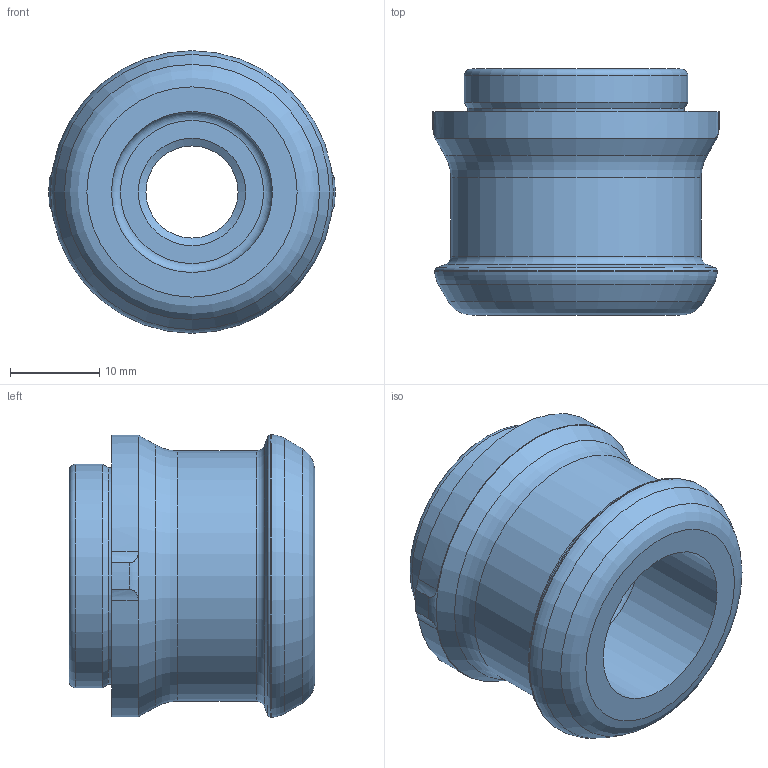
import cadquery as cq
import math

total_length = 27.5

rim_radius = 15.8
rim_cone_foot_radius = 13.43
rim_cone_angle = math.radians(30)
rim_front_round = 2.9
rim_rear_round = 3.1
rim_back_y = 5.2
rim_back_angle = math.radians(70)
rim_edge_round = 0.5
neck_front_fillet = 1.0

neck_radius = 14.0
neck_end_y = 16.7
flange_cone_angle = math.radians(30)
neck_rear_fillet = 5.0

pad_radius = 16.0
pad_end_round = 2.0
pad_half_width = 1.5
pad_side_fillet = 4.5
flange_radius = 15.76
flange_back_y = 22.74

spigot_radius = 12.5
spigot_edge_round = 0.75
groove_radius = 12.1
groove_width = 0.35
groove_flank_angle = math.radians(30)

bore_radius = 9.0
bore_depth = 13.0
bore_floor_fillet = 1.0
hole_radius = 5.15
hole_chamfer_width = 0.85
hole_chamfer_depth = 0.5


def toward(start, end, distance):
    """Point at the given distance from start along the line to end."""
    length = math.dist(start, end)
    return tuple(s + (e - s) * distance / length for s, e in zip(start, end))


def turned_solid(corners):
    """Revolve a closed outline about Y. Each corner is (radius, y, rounding)."""
    runs = []
    for index, (radius, y, rounding) in enumerate(corners):
        corner = (radius, y)
        if rounding == 0:
            runs.append([corner])
            continue
        before = corners[index - 1][:2]
        after = corners[(index + 1) % len(corners)][:2]
        unit_before = toward(corner, before, 1)
        unit_after = toward(corner, after, 1)
        half_chord = math.dist(unit_before, unit_after) / 2
        half_angle = math.asin(half_chord)
        setback = rounding / math.tan(half_angle)
        bisector = ((unit_before[0] + unit_after[0]) / 2, (unit_before[1] + unit_after[1]) / 2)
        middle = toward(corner, bisector, rounding / math.sin(half_angle) - rounding)
        runs.append([toward(corner, before, setback), middle, toward(corner, after, setback)])

    outline = cq.Workplane("XY").moveTo(*runs[0][-1])
    for run in runs[1:]:
        outline = outline.lineTo(*run[0])
        if len(run) > 1:
            outline = outline.threePointArc(run[1], run[2])
    return outline.close().revolve(360, (0, 0, 0), (0, 1, 0))


def make_blank():
    """Solid outer shape, with the flange still at the pad radius all round."""
    rim_cone_end_y = (rim_radius - rim_cone_foot_radius) / math.tan(rim_cone_angle)
    neck_start_y = rim_back_y + (rim_radius - neck_radius) / math.tan(rim_back_angle)
    flange_start_y = neck_end_y + (pad_radius - neck_radius) / math.tan(flange_cone_angle)
    groove_end_y = flange_back_y + groove_width
    spigot_start_y = groove_end_y + (spigot_radius - groove_radius) / math.tan(groove_flank_angle)
    return turned_solid([
        (0, 0, 0),
        (rim_cone_foot_radius, 0, rim_front_round),
        (rim_radius, rim_cone_end_y, rim_rear_round),
        (rim_radius, rim_back_y, rim_edge_round),
        (neck_radius, neck_start_y, neck_front_fillet),
        (neck_radius, neck_end_y, neck_rear_fillet),
        (pad_radius, flange_start_y, pad_end_round),
        (pad_radius, flange_back_y, 0),
        (groove_radius, flange_back_y, 0),
        (groove_radius, groove_end_y, 0),
        (spigot_radius, spigot_start_y, 0),
        (spigot_radius, total_length, spigot_edge_round),
        (0, total_length, 0),
    ])


def make_flange_trim():
    """Ring that turns the flange down to its own radius."""
    trim_clearance = 1.0
    return (
        cq.Workplane("XZ", origin=(0, flange_back_y, 0))
        .circle(pad_radius + trim_clearance)
        .circle(flange_radius)
        .extrude(flange_back_y - neck_end_y)
    )


def make_pad(blank, side):
    """Raised pad at the +X (side = 1) or -X (side = -1) end, blended into the flange."""
    center_distance = flange_radius + pad_side_fillet
    edge_angle = math.asin(pad_half_width / pad_radius)
    side_squares = center_distance**2 + pad_radius**2 - pad_side_fillet**2
    blend_cosine = side_squares / (2 * center_distance * pad_radius)
    foot_angle = edge_angle + math.acos(blend_cosine)

    def polar(radius, angle):
        return (side * radius * math.cos(angle), radius * math.sin(angle))

    foot = polar(flange_radius, foot_angle)
    edge = polar(pad_radius, edge_angle)
    center = polar(center_distance, foot_angle)
    chord_middle = ((foot[0] + edge[0]) / 2, (foot[1] + edge[1]) / 2)
    middle = toward(center, chord_middle, pad_side_fillet)

    def mirrored(point):
        return (point[0], -point[1])

    prism = (
        cq.Workplane("XZ", origin=(0, flange_back_y, 0))
        .moveTo(*foot)
        .threePointArc(middle, edge)
        .threePointArc(polar(pad_radius, 0), mirrored(edge))
        .threePointArc(mirrored(middle), mirrored(foot))
        .close()
        .extrude(flange_back_y - neck_end_y)
    )
    return prism.intersect(blank)


def make_bore():
    """Blind bore, floor chamfer and through hole as one cutter."""
    return turned_solid([
        (0, 0, 0),
        (bore_radius, 0, 0),
        (bore_radius, bore_depth, bore_floor_fillet),
        (hole_radius + hole_chamfer_width, bore_depth, 0),
        (hole_radius, bore_depth + hole_chamfer_depth, 0),
        (hole_radius, total_length, 0),
        (0, total_length, 0),
    ])


blank = make_blank()
body = blank.cut(make_flange_trim())
for side in (1, -1):
    body = body.union(make_pad(blank, side))
result = body.cut(make_bore())